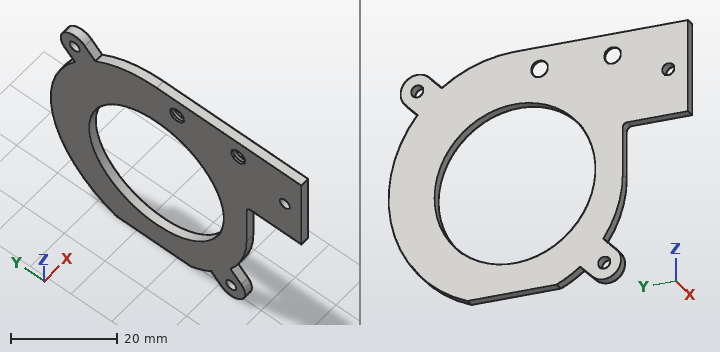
import cadquery as cq
import math

thickness = 2.0
bore_diameter = 33.0

large_radius = 25.95
small_radius = 22.15
small_center_z = -2.15
top_z = 27.4
bottom_z = -22.6
large_center_z = top_z - large_radius

overall_length = 61.5
arm_end_y = large_radius - overall_length
arm_bottom_z = 8.5
inner_corner_radius = 1.0

lug_radius = 3.45
lug_length = 12.3
upper_lug = (20.05, 22.9)
lower_lug = (-18.3, -19.8)
upper_lug_inward_angle = 225
lower_lug_inward_angle = 45

small_hole_diameter = 2.45
large_hole_diameter = 3.4
arm_small_hole = (-31.5, 17.95)
arm_large_holes = [(-5.05, 22.95), (-20.05, 22.95)]
straight_depth = 0.5
sink_depth = thickness - straight_depth
sink_half_angle = 45


def arc_point(radius, center_z, angle):
    """Point on an arc centred at Y = 0, with the angle measured from +Y."""
    a = math.radians(angle)
    return (radius * math.cos(a), center_z + radius * math.sin(a))


def flat_end(radius, center_z):
    """Distance from Y = 0 at which an arc meets the bottom flat."""
    return math.sqrt(radius**2 - (bottom_z - center_z) ** 2)


def make_body():
    """Volute and outlet arm, with a rounded inner corner between them."""
    outline = (
        cq.Workplane("YZ")
        .moveTo(0, top_z)
        .lineTo(arm_end_y, top_z)
        .lineTo(arm_end_y, arm_bottom_z)
        .lineTo(-small_radius - inner_corner_radius, arm_bottom_z)
        .radiusArc((-small_radius, arm_bottom_z - inner_corner_radius), inner_corner_radius)
        .lineTo(-small_radius, small_center_z)
        .threePointArc(
            arc_point(small_radius, small_center_z, 210),
            (-flat_end(small_radius, small_center_z), bottom_z),
        )
        .lineTo(flat_end(large_radius, large_center_z), bottom_z)
        .threePointArc(arc_point(large_radius, large_center_z, 0), (0, top_z))
        .close()
    )
    return outline.extrude(thickness)


def make_lug(center, inward_angle):
    """Round-ended lug reaching from its hole centre into the body."""
    a = math.radians(inward_angle)
    middle_y = center[0] + lug_length / 2 * math.cos(a)
    middle_z = center[1] + lug_length / 2 * math.sin(a)
    return (
        cq.Workplane("YZ")
        .center(middle_y, middle_z)
        .slot2D(lug_length + 2 * lug_radius, 2 * lug_radius, inward_angle)
        .extrude(thickness)
    )


def make_holes(centers, diameter):
    """Cutters for through holes of one diameter."""
    return cq.Workplane("YZ").pushPoints(centers).circle(diameter / 2).extrude(thickness)


def make_countersinks(centers):
    """Conical cutters opening onto the +X face."""
    return (
        cq.Workplane("YZ", origin=(straight_depth, 0, 0))
        .pushPoints(centers)
        .circle(large_hole_diameter / 2)
        .extrude(sink_depth, taper=-sink_half_angle)
    )


result = make_body()
result = result.union(make_lug(upper_lug, upper_lug_inward_angle))
result = result.union(make_lug(lower_lug, lower_lug_inward_angle))
result = result.cut(make_holes([(0, 0)], bore_diameter))
result = result.cut(make_holes([upper_lug, lower_lug, arm_small_hole], small_hole_diameter))
result = result.cut(make_holes(arm_large_holes, large_hole_diameter))
result = result.cut(make_countersinks(arm_large_holes))